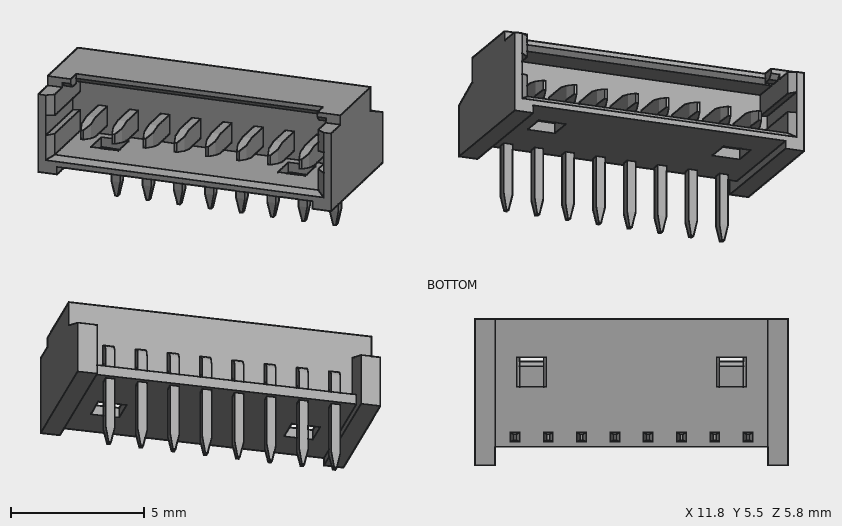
import cadquery as cq


length = 11.75
depth = 5.5
height = 3.5
side_block_width = 0.75
foot_height = 0.3
front_step_depth = 1.0
ceiling_height = 3.13
wing_length = 1.29
wing_back_height = 2.03
wing_front_height = 2.53
ledge_setback = 0.69

wall = 0.59
floor_height = 0.7
cavity_depth = 2.9
mouth_bevel_depth = 0.2
mouth_wall = 0.29
mouth_floor_height = 0.52
groove_bottom = 1.55
groove_top = 2.28
groove_flare = 0.05

notch_side = 0.93
notch_depth = 1.6
roof_bevel = 0.19

window_size = 1.1
window_front = 1.45

pin_count = 8
pin_row_span = 8.75
pin_width = 0.35
blade_bottom = 1.06
blade_top = 1.83
blade_front = 0.7
blade_end_bevel_length = 0.95
blade_end_bevel_drop = 0.2
blade_side_bevel_length = 0.45
tip_width = 0.1
leg_thickness = pin_width
leg_back = 4.62
bend_radius = 0.47
leg_bottom = -2.3
leg_tip_length = 0.6
leg_tip_thickness = 0.22

pin_pitch = pin_row_span / (pin_count - 1)
pin_positions = [(i - (pin_count - 1) / 2) * pin_pitch for i in range(pin_count)]
cavity_width = length - 2 * wall


def box(x_range, y_range, z_range):
    """Box given by its (start, end) along each axis."""
    spans = [end - start for start, end in (x_range, y_range, z_range)]
    corner = (x_range[0], y_range[0], z_range[0])
    return cq.Workplane("XY").box(*spans, centered=False).translate(corner)


def extrude_along_x(points, width, center_x=0.0):
    """Closed (Y, Z) outline extruded to a width centred on center_x."""
    return (
        cq.Workplane("YZ", origin=(center_x, 0, 0))
        .polyline(points)
        .close()
        .extrude(width / 2, both=True)
    )


def make_housing_block():
    """Solid outline with full-depth feet, rear wings and a ledge level with the cavity floor."""
    roof_back = depth - wing_length
    side_outline = [
        (0, 0),
        (depth, 0),
        (depth, wing_back_height),
        (roof_back, wing_front_height),
        (roof_back, height),
        (front_step_depth, height),
        (front_step_depth, ceiling_height),
        (0, ceiling_height),
    ]
    middle = (side_block_width - length / 2, length / 2 - side_block_width)
    ledge_back = depth - ledge_setback
    block = extrude_along_x(side_outline, length)
    block = block.cut(box(middle, (0, depth), (0, foot_height)))
    block = block.cut(box(middle, (roof_back, depth), (floor_height, height)))
    return block.cut(box(middle, (ledge_back, depth), (0, height)))


def make_cavity():
    half = cavity_width / 2
    return box((-half, half), (0, cavity_depth), (floor_height, ceiling_height))


def make_mouth():
    """Flared entry: the floor and both side walls open out towards the mating face."""
    def section(plane, half_width, bottom):
        corners = [
            (-half_width, bottom),
            (half_width, bottom),
            (half_width, ceiling_height),
            (-half_width, ceiling_height),
        ]
        return plane.polyline(corners).close()

    front = section(cq.Workplane("XZ"), length / 2 - mouth_wall, mouth_floor_height)
    rear_plane = front.workplane(offset=-mouth_bevel_depth)
    return section(rear_plane, cavity_width / 2, floor_height).loft(ruled=True)


def make_groove():
    """Flared groove along the right-hand cavity wall."""
    inner = cavity_width / 2
    outer = length / 2 - mouth_wall
    outline = [
        (inner, groove_bottom),
        (outer, groove_bottom - groove_flare),
        (outer, groove_top + groove_flare),
        (inner, groove_top),
    ]
    return cq.Workplane("XZ").polyline(outline).close().extrude(-cavity_depth)


def make_roof_bevel(edge_y):
    """Wedge that bevels the underside of a roof edge across the cavity."""
    outline = [
        (edge_y, ceiling_height),
        (edge_y + roof_bevel, ceiling_height),
        (edge_y, ceiling_height + roof_bevel),
    ]
    return extrude_along_x(outline, cavity_width)


def make_pin(x):
    """Horizontal blade bent down into a leg, both ends tapered on all four sides."""
    end_bevel_back = blade_front + blade_end_bevel_length
    tip_start = leg_bottom + leg_tip_length
    leg_front = leg_back - leg_thickness
    leg_tip_inset = (leg_thickness - leg_tip_thickness) / 2
    pin = extrude_along_x(
        [
            (blade_front, blade_bottom + blade_end_bevel_drop),
            (end_bevel_back, blade_bottom),
            (leg_front, blade_bottom),
            (leg_front, tip_start),
            (leg_front + leg_tip_inset, leg_bottom),
            (leg_back - leg_tip_inset, leg_bottom),
            (leg_back, tip_start),
            (leg_back, blade_top),
            (end_bevel_back, blade_top),
            (blade_front, blade_top - blade_end_bevel_drop),
        ],
        pin_width,
        x,
    )
    bend_edge = cq.selectors.NearestToPointSelector((x, leg_back, blade_top))
    pin = pin.edges(bend_edge).fillet(bend_radius)

    half, half_tip = pin_width / 2, tip_width / 2
    side_bevel_back = blade_front + blade_side_bevel_length
    blade_plan = [
        (x - half_tip, blade_front),
        (x + half_tip, blade_front),
        (x + half, side_bevel_back),
        (x + half, leg_back),
        (x - half, leg_back),
        (x - half, side_bevel_back),
    ]
    leg_elevation = [
        (x - half_tip, leg_bottom),
        (x + half_tip, leg_bottom),
        (x + half, tip_start),
        (x + half, blade_top),
        (x - half, blade_top),
        (x - half, tip_start),
    ]
    plan_envelope = (
        cq.Workplane("XY", origin=(0, 0, leg_bottom))
        .polyline(blade_plan)
        .close()
        .extrude(blade_top - leg_bottom)
    )
    elevation_envelope = cq.Workplane("XZ").polyline(leg_elevation).close().extrude(-leg_back)
    return pin.intersect(plan_envelope).intersect(elevation_envelope)


def make_window(center_x):
    half = window_size / 2
    y_range = (window_front, window_front + window_size)
    return box((center_x - half, center_x + half), y_range, (0, floor_height))


housing = make_housing_block().cut(make_cavity()).cut(make_mouth())

groove = make_groove()
housing = housing.cut(groove).cut(groove.mirror("YZ"))

notch_half = length / 2 - notch_side
housing = housing.cut(box((-notch_half, notch_half), (0, notch_depth), (ceiling_height, height)))
for roof_edge in (front_step_depth, notch_depth):
    housing = housing.cut(make_roof_bevel(roof_edge))

window_offset = (pin_positions[-1] + pin_positions[-2]) / 2
for window_x in (-window_offset, window_offset):
    housing = housing.cut(make_window(window_x))

result = housing
for pin_x in pin_positions:
    result = result.union(make_pin(pin_x))